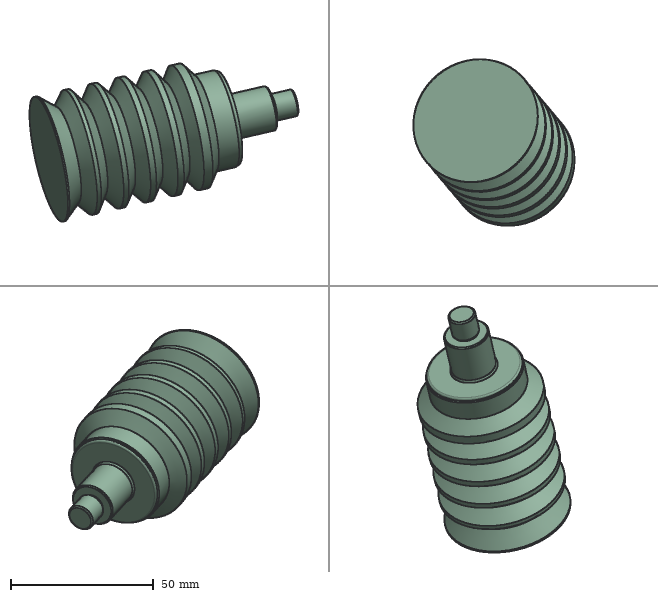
import cadquery as cq

total_length = 90.6

bellows_radius = 45.0 / 2
body_radius = 35.0 / 2
lip_thickness = 0.6
lip_neck_y = 6.5
deep_valley_radius = 17.0
folds = [
    (10.8, 12.3, 16.4, deep_valley_radius),
    (20.6, 22.5, 26.5, body_radius),
    (30.4, 32.6, 36.5, body_radius),
    (40.5, 42.8, 46.5, body_radius),
    (50.1, 53.4, 57.2, body_radius),
]

body_top_y = 64.6
bead_top_y = 66.1
bead_radius = 34.2 / 2
bead_round = (bead_top_y - body_top_y) / 2

collar_radius = 16.0 / 2
collar_top_y = 81.7
collar_chamfer = 0.45
foot_height = 0.9
foot_flare = 0.45

pin_radius = 9.7 / 2
undercut_radius = 8.6 / 2
undercut_top_y = 82.6
pin_chamfer = 0.5


def add_bellows(profile):
    """Trace the sealing lip and the folds, ending at the foot of the body."""
    profile = profile.lineTo(bellows_radius, 0).lineTo(bellows_radius, lip_thickness)
    profile = profile.lineTo(body_radius, lip_neck_y)
    for crest_start, crest_end, cone_end, valley_radius in folds:
        profile = profile.lineTo(bellows_radius, crest_start)
        profile = profile.lineTo(bellows_radius, crest_end)
        profile = profile.lineTo(valley_radius, cone_end)
    return profile


def add_body(profile):
    """Trace the plain body and the rounded bead above it."""
    bead_center_radius = bead_radius - bead_round
    return (
        profile.lineTo(body_radius, body_top_y)
        .lineTo(bead_center_radius, body_top_y)
        .threePointArc((bead_radius, body_top_y + bead_round), (bead_center_radius, bead_top_y))
    )


def add_collar(profile):
    """Trace the collar from its flared foot to its chamfered top."""
    return (
        profile.lineTo(collar_radius + foot_flare, bead_top_y)
        .lineTo(collar_radius, bead_top_y + foot_height)
        .lineTo(collar_radius, collar_top_y - collar_chamfer)
        .lineTo(collar_radius - collar_chamfer, collar_top_y)
    )


def add_pin(profile):
    """Trace the undercut and the pin up to the axis."""
    return (
        profile.lineTo(undercut_radius, collar_top_y)
        .lineTo(undercut_radius, undercut_top_y)
        .lineTo(pin_radius, undercut_top_y)
        .lineTo(pin_radius, total_length - pin_chamfer)
        .lineTo(pin_radius - pin_chamfer, total_length)
        .lineTo(0, total_length)
    )


half_profile = cq.Workplane("XY").moveTo(0, 0)
for add_section in (add_bellows, add_body, add_collar, add_pin):
    half_profile = add_section(half_profile)

result = half_profile.close().revolve(360, (0, 0, 0), (0, 1, 0))